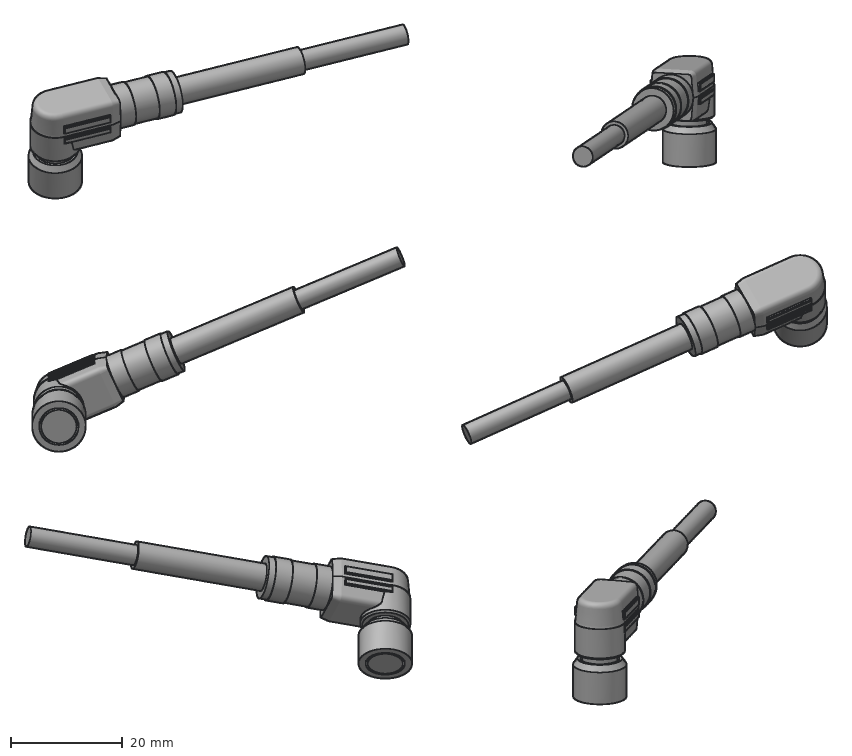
import cadquery as cq

nut_diameter = 9.6
nut_height = 7.2
nut_chamfer_width = 0.8
nut_chamfer_height = 1.15
nut_bore_radius = 3.5

barrel_radius = 4.5
barrel_bottom = 8.3
barrel_chamfer = 0.35
neck_radius = 3.15

part_height = 18.8
head_height = 9.35
cable_axis_height = part_height - head_height / 2
ridge_half_width = 4.45
side_half_width = 4.4
side_offset = 0.4
face_half_width = 4.0
head_edge_radius = 1.1
head_back = 9.5
collar_length = 1.6
collar_taper = 15.0

pad_half_span = 4.75
pad_root = 3.6
pad_back = 8.9
pad_bevel = 0.15
upper_pad_bottom = 14.9
upper_pad_top = 16.4
lower_pad_bottom = 12.5
lower_pad_top = 13.65

total_length = 71.9
cable_end = total_length - nut_diameter / 2
grip_radius = 3.9
grip_end = 23.0
ring_radius = 4.0
front_ring_end = 14.0
rear_ring_start = 18.55
rear_ring_end = 21.7
sleeve_radius = 2.5
sleeve_end = 47.0
cable_radius = 1.9


def section_corners():
    """Right-hand corners of the head section, from top to bottom, about the cable axis."""
    half_height = head_height / 2
    return [
        (face_half_width, half_height),
        (side_half_width, side_offset),
        (ridge_half_width, 0),
        (side_half_width, -side_offset),
        (face_half_width, -half_height),
    ]


def section_plane(y):
    """Plane across the cable at y, centred on the cable axis and facing +Y, with local y up."""
    return cq.Plane(origin=(0, y, cable_axis_height), xDir=(-1, 0, 0), normal=(0, 1, 0))


def head_section():
    """Closed head section with its four outer corners rounded."""
    right = section_corners()
    left = [(-x, z) for x, z in reversed(right)]
    outline = cq.Sketch().polygon([*right, *left, right[0]])
    return outline.vertices(">Y or <Y").fillet(head_edge_radius)


def rod(start, end, radius):
    """Cylinder on the cable axis from y = start to y = end."""
    return cq.Workplane(section_plane(start)).circle(radius).extrude(end - start)


def make_head_block():
    """Straight block behind the nut axis, closed by a collar that tapers backwards."""
    block = cq.Workplane(section_plane(0)).placeSketch(head_section()).extrude(head_back)
    collar = (
        cq.Workplane(section_plane(head_back))
        .placeSketch(head_section())
        .extrude(collar_length, taper=collar_taper)
    )
    return block.union(collar)


def make_nose():
    """Rounded front of the head: the upper half of the section turned about the nut axis."""
    top_corner, side_corner, ridge_corner = section_corners()[:3]
    profile = [(0, 0), ridge_corner, side_corner, top_corner, (0, head_height / 2)]
    nose = (
        cq.Workplane("XZ", origin=(0, 0, cable_axis_height))
        .polyline(profile)
        .close()
        .revolve(360, (0, 0, 0), (0, 1, 0))
    )
    return nose.faces(">Z").edges().fillet(head_edge_radius)


def make_barrel():
    """Round barrel below the nose, with a chamfered lower edge."""
    return (
        cq.Workplane("XY", origin=(0, 0, barrel_bottom))
        .circle(barrel_radius)
        .extrude(cable_axis_height - barrel_bottom)
        .faces("<Z")
        .chamfer(barrel_chamfer)
    )


def make_neck():
    """Neck that runs through the bore of the nut up to the barrel."""
    return cq.Workplane("XY").circle(neck_radius).extrude(barrel_bottom)


def make_pad(side, bottom, top):
    """Raised pad on one side of the head; side is +1 or -1 along X."""
    pad = cq.Workplane("XY").box(
        pad_half_span - pad_root, pad_back, top - bottom, centered=(False, False, False)
    )
    pad = pad.translate((pad_root, 0, bottom)).faces(">X").chamfer(pad_bevel)
    return pad if side > 0 else pad.mirror("YZ")


def make_cable_set():
    """Stepped strain relief with its two rings, the sleeve and the cable."""
    collar_end = head_back + collar_length
    steps = rod(head_back, grip_end, grip_radius)
    steps = steps.union(rod(collar_end, front_ring_end, ring_radius))
    steps = steps.union(rod(rear_ring_start, rear_ring_end, ring_radius))
    steps = steps.union(rod(grip_end, sleeve_end, sleeve_radius))
    return steps.union(rod(sleeve_end, cable_end, cable_radius))


def make_connector():
    """Moulded angle connector together with its cable."""
    body = make_head_block().union(make_nose()).union(make_barrel()).union(make_neck())
    for side in (1, -1):
        body = body.union(make_pad(side, upper_pad_bottom, upper_pad_top))
        body = body.union(make_pad(side, lower_pad_bottom, lower_pad_top))
    return body.union(make_cable_set())


def make_nut():
    """Coupling nut with a chamfered top edge and a clearance bore for the neck."""
    nut_radius = nut_diameter / 2
    half_profile = [
        (nut_bore_radius, 0),
        (nut_radius, 0),
        (nut_radius, nut_height - nut_chamfer_height),
        (nut_radius - nut_chamfer_width, nut_height),
        (nut_bore_radius, nut_height),
    ]
    return cq.Workplane("XZ").polyline(half_profile).close().revolve(360, (0, 0, 0), (0, 1, 0))


connector = make_connector()
nut = make_nut()

result = cq.Compound.makeCompound([connector.val(), nut.val()])